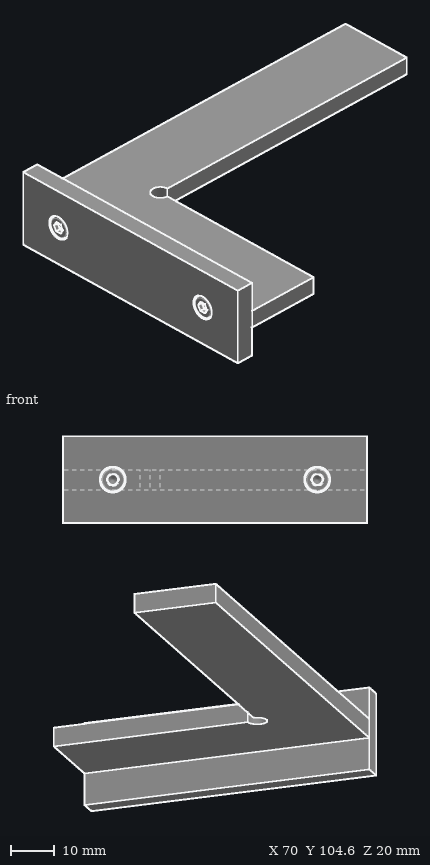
import cadquery as cq
import math

foot_length = 70.0
blade_length = 100.0
arm_width = 20.0
stock_thickness = 4.6
relief_diameter = 4.6

stop_height = 20.0

screw_inset = 11.5
shank_diameter = 3.0
shank_length = 10.0
head_diameter = 5.5
head_height = 3.0
head_edge_radius = 0.3
socket_across_flats = 2.5
socket_depth = 1.2
socket_tip_diameter = 2.4
socket_tip_angle = 120.0
counterbore_diameter = 6.0

stop_face_y = -stock_thickness
head_seat_y = stop_face_y + head_height
shank_end_y = head_seat_y + shank_length
socket_across_corners = socket_across_flats / math.cos(math.radians(30))
socket_floor_y = stop_face_y + socket_depth
socket_tip_depth = socket_tip_diameter / 2 / math.tan(math.radians(socket_tip_angle / 2))
screw_places = [screw_inset, foot_length - screw_inset]


def rod(x, diameter, start_y, end_y):
    """Round bar along +Y, centred at height zero."""
    plane = cq.Plane(origin=(x, start_y, 0), xDir=(1, 0, 0), normal=(0, 1, 0))
    return cq.Workplane(plane).circle(diameter / 2).extrude(end_y - start_y)


def make_square():
    """L-shaped blade with a round relief in its inner corner and screw holes in its foot."""
    square = (
        cq.Workplane("XY")
        .workplane(offset=-stock_thickness / 2)
        .polyline([
            (0, 0),
            (foot_length, 0),
            (foot_length, arm_width),
            (arm_width, arm_width),
            (arm_width, blade_length),
            (0, blade_length),
        ])
        .close()
        .extrude(stock_thickness)
    )
    relief = (
        cq.Workplane("XY", origin=(arm_width, arm_width, -stock_thickness / 2))
        .circle(relief_diameter / 2)
        .extrude(stock_thickness)
    )
    square = square.cut(relief)
    for x in screw_places:
        square = square.cut(rod(x, shank_diameter, 0, shank_end_y))
    return square


def make_stop_plate():
    """Rectangular plate with a counterbored hole for each screw."""
    plate = (
        cq.Workplane("XY")
        .box(foot_length, stock_thickness, stop_height)
        .translate((foot_length / 2, -stock_thickness / 2, 0))
    )
    for x in screw_places:
        plate = plate.cut(rod(x, shank_diameter, stop_face_y, 0))
        plate = plate.cut(rod(x, counterbore_diameter, stop_face_y, head_seat_y))
    return plate


def make_screw(x):
    """Socket head screw along +Y with a rounded head and a cone-bottomed hexagonal socket."""
    head = rod(x, head_diameter, stop_face_y, head_seat_y)
    head = head.faces("<Y").edges().fillet(head_edge_radius)
    shank = rod(x, shank_diameter, head_seat_y, shank_end_y)
    socket_plane = cq.Plane(origin=(x, stop_face_y, 0), xDir=(1, 0, 0), normal=(0, 1, 0))
    socket = cq.Workplane(socket_plane).polygon(6, socket_across_corners).extrude(socket_depth)
    tip = cq.Workplane(cq.Solid.makeCone(
        socket_tip_diameter / 2,
        0,
        socket_tip_depth,
        pnt=cq.Vector(x, socket_floor_y, 0),
        dir=cq.Vector(0, 1, 0),
    ))
    return head.union(shank).cut(socket).cut(tip)


square = make_square()
stop_plate = make_stop_plate()
screws = [make_screw(x) for x in screw_places]

result = cq.Compound.makeCompound([
    square.val(),
    stop_plate.val(),
    *[screw.val() for screw in screws],
])